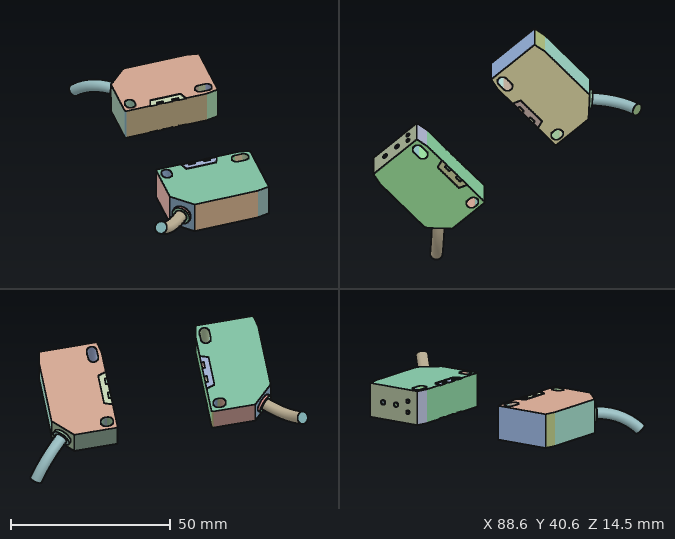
import cadquery as cq
import math


OVERALL_SPAN = 88.6

WIDTH = 20.0
LENGTH = 31.0
HEIGHT = 11.0
CABLE_CORNER = 6.1
TAPER_WIDTH = 0.8
TAPER_LENGTH = 4.0
EDGE_RADIUS = 0.5

SLOT_WIDTH = 3.2
SLOT_INSET = 3.0
LONG_SLOT_LENGTH = 5.5
LONG_SLOT_Y = LENGTH - 4.1
SHORT_SLOT_LENGTH = 4.0
SHORT_SLOT_Y = 2.7

WINDOW_Y = 14.3
WINDOW_DEPTH = 2.7
WINDOW_OUTER_LENGTH = 11.8
WINDOW_INNER_LENGTH = 9.9
RECESS = 0.2
PAD_WIDTH = 0.9
PAD_LENGTH = 2.0
PAD_SPACING = 5.05

COLLAR_DIAMETER = 6.0
COLLAR_LENGTH = 1.0
CABLE_DIAMETER = 4.0
BEND_RADIUS = 19.9
BEND_ANGLE = 45.0

CONTROL_RISE = 0.3
KNOB_DIAMETER = 1.5
KNOB_INSETS = (9.0, 14.1)
LAMP_DIAMETER = 1.15
LAMP_INSET = 4.4
LAMP_SPACING = 3.5

DIAGONAL = math.cos(math.radians(45))
bend_run = BEND_RADIUS * math.sin(math.radians(BEND_ANGLE))
end_axis_x = DIAGONAL * math.cos(math.radians(BEND_ANGLE))
end_half_width = CABLE_DIAMETER / 2 * math.sqrt(1 - end_axis_x**2)
cable_reach = DIAGONAL * (COLLAR_LENGTH + bend_run) + end_half_width

OUTER_X = -OVERALL_SPAN / 2 + cable_reach - CABLE_CORNER / 2
INNER_X = OUTER_X + WIDTH


def slot(y, length, angle):
    """Rounded slot cutter; the angle turns its length away from X."""
    return (
        cq.Workplane("XY", origin=(INNER_X - SLOT_INSET, y, -HEIGHT / 2))
        .slot2D(length, SLOT_WIDTH, angle)
        .extrude(HEIGHT)
    )


def window_recess():
    """Recess in the top face, less the two pads."""
    inner_half = WINDOW_INNER_LENGTH / 2
    outer_half = WINDOW_OUTER_LENGTH / 2
    floor = cq.Workplane("XY", origin=(INNER_X, WINDOW_Y, HEIGHT / 2 - RECESS))
    recess = (
        floor.moveTo(0, -outer_half)
        .lineTo(-WINDOW_DEPTH, -inner_half)
        .lineTo(-WINDOW_DEPTH, inner_half)
        .lineTo(0, outer_half)
        .close()
        .extrude(RECESS)
    )
    pads = (
        floor.pushPoints([(-PAD_WIDTH / 2, -PAD_SPACING / 2), (-PAD_WIDTH / 2, PAD_SPACING / 2)])
        .rect(PAD_WIDTH, PAD_LENGTH)
        .extrude(RECESS)
    )
    return recess.cut(pads)


def housing():
    """Slotted block with tapered end, corner cut, one rounded corner and both window recesses."""
    block = (
        cq.Workplane("XY", origin=(0, 0, -HEIGHT / 2))
        .moveTo(OUTER_X + CABLE_CORNER, 0)
        .lineTo(INNER_X, 0)
        .lineTo(INNER_X, LENGTH - TAPER_LENGTH)
        .lineTo(INNER_X - TAPER_WIDTH, LENGTH)
        .lineTo(OUTER_X + TAPER_WIDTH, LENGTH)
        .lineTo(OUTER_X, LENGTH - TAPER_LENGTH)
        .lineTo(OUTER_X, CABLE_CORNER)
        .close()
        .extrude(HEIGHT)
    )
    block = block.edges(cq.selectors.NearestToPointSelector((INNER_X, 0, 0))).fillet(EDGE_RADIUS)
    top_recess = window_recess()
    return (
        block.cut(slot(LONG_SLOT_Y, LONG_SLOT_LENGTH, 90))
        .cut(slot(SHORT_SLOT_Y, SHORT_SLOT_LENGTH, 0))
        .cut(top_recess)
        .cut(top_recess.mirror("XY"))
    )


def cable():
    """Collar square to the corner cut, and a cable leaving it that bends down."""
    corner_middle = cq.Vector(OUTER_X + CABLE_CORNER / 2, CABLE_CORNER / 2, 0)
    outward = cq.Vector(-1, -1, 0).normalized()
    sideways = cq.Vector(1, -1, 0).normalized()
    corner_plane = cq.Plane(origin=corner_middle, xDir=sideways, normal=outward)
    collar = cq.Workplane(corner_plane).circle(COLLAR_DIAMETER / 2).extrude(COLLAR_LENGTH)

    start = corner_middle + outward * COLLAR_LENGTH

    def bend_point(angle):
        """Point on the cable's centre line after it has turned by this angle."""
        turn = math.radians(angle)
        drop = cq.Vector(0, 0, -BEND_RADIUS * (1 - math.cos(turn)))
        return start + outward * (BEND_RADIUS * math.sin(turn)) + drop

    bend = cq.Edge.makeThreePointArc(start, bend_point(BEND_ANGLE / 2), bend_point(BEND_ANGLE))
    start_plane = cq.Plane(origin=start, xDir=sideways, normal=outward)
    cord = cq.Workplane(start_plane).circle(CABLE_DIAMETER / 2).sweep(cq.Workplane(obj=bend))
    return collar.union(cord)


def controls():
    """Two knobs in line and a pair of lamps, raised on the receiver's end face."""
    end_face = cq.Workplane("XZ", origin=(-INNER_X, LENGTH, 0))
    knobs = (
        end_face.pushPoints([(inset, 0) for inset in KNOB_INSETS])
        .circle(KNOB_DIAMETER / 2)
        .extrude(-CONTROL_RISE)
    )
    lamps = (
        end_face.pushPoints([(LAMP_INSET, -LAMP_SPACING / 2), (LAMP_INSET, LAMP_SPACING / 2)])
        .circle(LAMP_DIAMETER / 2)
        .extrude(-CONTROL_RISE)
    )
    return knobs.add(lamps)


emitter = housing().union(cable())
receiver = emitter.rotate((0, 0, 0), (0, 1, 0), 180)
for control in controls().vals():
    receiver = receiver.union(cq.Workplane(obj=control))

result = cq.Compound.makeCompound([emitter.val(), receiver.val()])